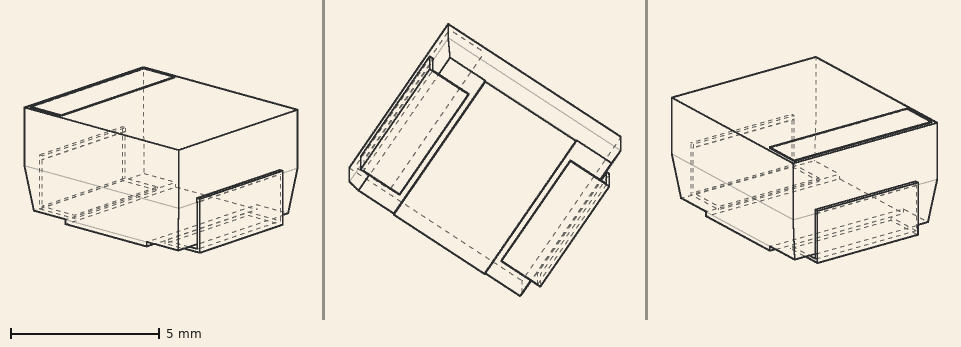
import cadquery as cq

overall_length = 7.29
overall_height = 3.86

housing_length = 7.005
housing_width = 5.99
parting_height = 1.77
taper_inset = 0.225
standoff_height = 0.17
standoff_length = 3.69

mark_thickness = 0.03
mark_length = 1.415
mark_margin = 0.14

lead_width = 4.18
lead_thickness = 0.12
lead_height = 1.91
foot_length = 1.58

housing_top = overall_height - mark_thickness
base_length = housing_length - 2 * taper_inset
base_width = housing_width - 2 * taper_inset


def make_housing():
    """Straight upper block, tapered lower block and a standoff underneath."""
    upper = (
        cq.Workplane("XY", origin=(0, 0, parting_height))
        .rect(housing_length, housing_width)
        .extrude(housing_top - parting_height)
    )
    lower = (
        cq.Workplane("XY", origin=(0, 0, standoff_height))
        .rect(base_length, base_width)
        .workplane(offset=parting_height - standoff_height)
        .rect(housing_length, housing_width)
        .loft(ruled=True)
    )
    standoff = cq.Workplane("XY").rect(standoff_length, base_width).extrude(standoff_height)
    return upper.union(lower).union(standoff)


def make_polarity_mark():
    """Thin rectangle lying on the top face near the -X end."""
    center_x = -housing_length / 2 + mark_margin + mark_length / 2
    return (
        cq.Workplane("XY", origin=(center_x, 0, housing_top))
        .rect(mark_length, housing_width - 2 * mark_margin)
        .extrude(mark_thickness)
    )


def make_lead(side):
    """L-shaped lead; side is -1 for the -X end and +1 for the +X end."""
    outer = overall_length / 2
    inner = outer - lead_thickness
    foot_end = outer - foot_length
    contact = housing_length / 2
    profile = [
        (outer, 0),
        (outer, lead_height),
        (contact, lead_height),
        (contact, parting_height),
        (inner, parting_height),
        (inner, lead_thickness),
        (foot_end, lead_thickness),
        (foot_end, 0),
    ]
    return (
        cq.Workplane("XZ")
        .polyline([(side * x, z) for x, z in profile])
        .close()
        .extrude(lead_width / 2, both=True)
    )


housing = make_housing()
polarity_mark = make_polarity_mark()
leads = [make_lead(side) for side in (-1, 1)]

result = cq.Compound.makeCompound(
    [housing.val(), polarity_mark.val(), *[lead.val() for lead in leads]]
)